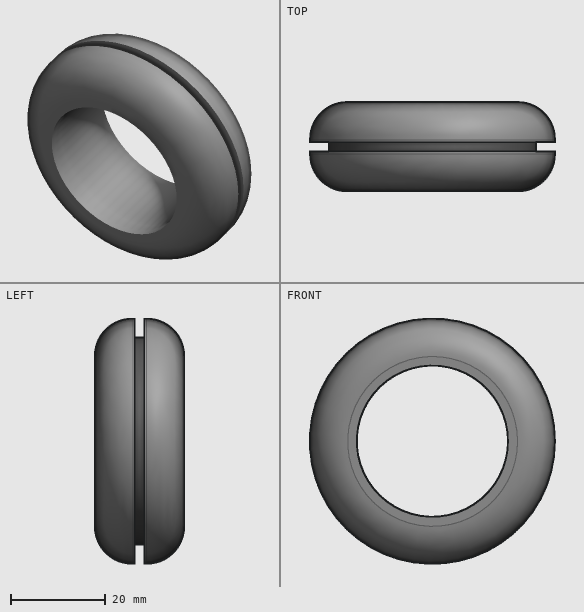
import cadquery as cq

outer_diameter = 52.0
bore_diameter = 32.0
groove_diameter = 44.0
width = 19.0
groove_width = 2.0
rounding_radius = 8.0


def centred_disc(diameter, thickness):
    """Disc about the Y axis, centred on the origin."""
    return cq.Workplane("XZ", origin=(0, thickness / 2, 0)).circle(diameter / 2).extrude(thickness)


body = centred_disc(outer_diameter, width).edges("%CIRCLE").fillet(rounding_radius)

bore = centred_disc(bore_diameter, width)

groove = centred_disc(outer_diameter, groove_width).cut(centred_disc(groove_diameter, groove_width))

result = body.cut(bore).cut(groove)